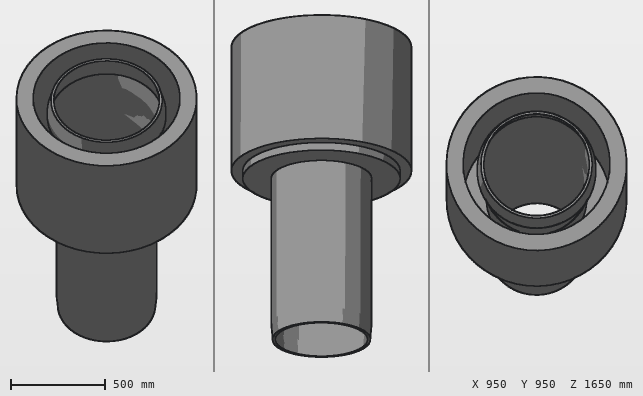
import cadquery as cq
import math

total_height = 1650.0
collar_bottom = 952.0
plate_bottom = 909.0

collar_diameter = 950.0
collar_bore = 774.0
plate_diameter = 830.0

wall = 15.0
tip_bore = 487.0
pipe_bore = 500.0
socket_bore = 540.0
mouth_bore = 556.0
bulge_bore = 595.0
pipe_diameter = pipe_bore + 2 * wall

tip_height = 82.0
shoulder_bottom = 1185.0
shoulder_top = 1310.0
throat_bottom = 1395.0
throat_top = 1430.0
bulge_bottom = 1503.0
bulge_top = 1546.0
mouth_height = 1630.0


def ring(outer_diameter, inner_diameter, bottom, top):
    """Plain ring about the Z axis between two heights."""
    return (
        cq.Workplane("XY")
        .workplane(offset=bottom)
        .circle(outer_diameter / 2)
        .circle(inner_diameter / 2)
        .extrude(top - bottom)
    )


def throat_arc(offset):
    """Middle and upper end of the arc that blends the socket into the flare below the bulge."""
    arc_height = throat_top - throat_bottom
    corner_height = throat_bottom + arc_height / 2
    flare_angle = math.atan((bulge_bore - socket_bore) / 2 / (bulge_bottom - corner_height))
    arc_radius = arc_height / math.sin(flare_angle)

    def arc_point(angle):
        return (
            socket_bore / 2 + offset + arc_radius * (1 - math.cos(angle)),
            throat_bottom + arc_radius * math.sin(angle),
        )

    return arc_point(flare_angle / 2), arc_point(flare_angle)


def shoulder_arcs(offset):
    """Lower middle, inflection and upper middle points of the S-curve between pipe and socket."""
    middle_radius = (pipe_bore + socket_bore) / 4 + offset
    middle_height = (shoulder_bottom + shoulder_top) / 2
    half_step = (socket_bore - pipe_bore) / 4
    half_height = (shoulder_top - shoulder_bottom) / 2
    turn = 2 * math.atan(half_step / half_height)
    arc_radius = half_height / math.sin(turn)
    radial_inset = arc_radius * (1 - math.cos(turn / 2))
    height_inset = arc_radius * math.sin(turn / 2)
    lower_middle = (pipe_bore / 2 + offset + radial_inset, shoulder_bottom + height_inset)
    upper_middle = (socket_bore / 2 + offset - radial_inset, shoulder_top - height_inset)
    return lower_middle, (middle_radius, middle_height), upper_middle


def pipe_solid(offset):
    """Solid of revolution whose radius is the bore radius plus an offset."""
    arc_middle, arc_end = throat_arc(offset)
    lower_middle, inflection, upper_middle = shoulder_arcs(offset)
    profile = (
        cq.Workplane("XZ")
        .moveTo(0, 0)
        .lineTo(tip_bore / 2 + offset, 0)
        .lineTo(pipe_bore / 2 + offset, tip_height)
        .lineTo(pipe_bore / 2 + offset, shoulder_bottom)
        .threePointArc(lower_middle, inflection)
        .threePointArc(upper_middle, (socket_bore / 2 + offset, shoulder_top))
        .lineTo(socket_bore / 2 + offset, throat_bottom)
        .threePointArc(arc_middle, arc_end)
        .lineTo(bulge_bore / 2 + offset, bulge_bottom)
        .lineTo(bulge_bore / 2 + offset, bulge_top)
        .lineTo(mouth_bore / 2 + offset, mouth_height)
        .lineTo(0, mouth_height)
        .close()
    )
    return profile.revolve(360, (0, 0, 0), (0, 1, 0))


collar = ring(collar_diameter, collar_bore, collar_bottom, total_height)
plate = ring(plate_diameter, pipe_diameter, plate_bottom, collar_bottom)
pipe = pipe_solid(wall).cut(pipe_solid(0))

result = cq.Compound.makeCompound([collar.val(), plate.val(), pipe.val()])